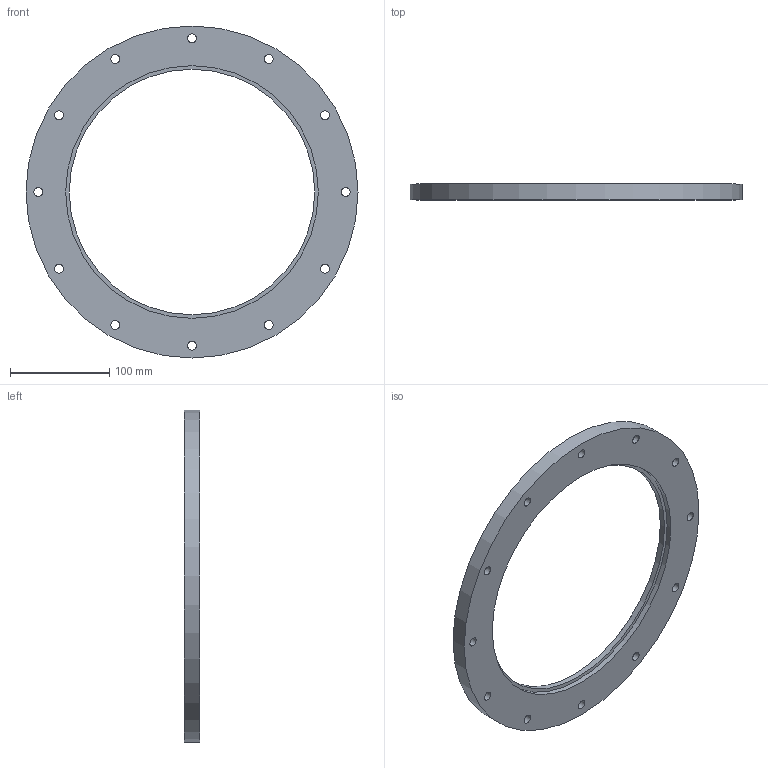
import cadquery as cq

OUTER_DIAMETER = 335.0
THICKNESS = 16.0
BORE_DIAMETER = 247.7

FRONT_RECESS_DIAMETER = 255.0
FRONT_RECESS_DEPTH = 5.5

BACK_RECESS_DIAMETER = 261.0
BACK_RECESS_DEPTH = 4.5

BOLT_COUNT = 12
BOLT_DIAMETER = 9.0
BOLT_CIRCLE_DIAMETER = 310.0

FRONT_Y = -THICKNESS / 2
BACK_Y = THICKNESS / 2


def plane_at(y):
    """Sketch plane at position y along the ring axis, with its normal towards +Y."""
    return cq.Workplane(cq.Plane(origin=(0, y, 0), xDir=(1, 0, 0), normal=(0, 1, 0)))


def disc(diameter, start_y, length):
    """Cylinder on the ring axis running from start_y towards +Y."""
    return plane_at(start_y).circle(diameter / 2).extrude(length)


def bolt_holes():
    """Through holes evenly spaced on the bolt circle."""
    return (
        plane_at(FRONT_Y)
        .polarArray(BOLT_CIRCLE_DIAMETER / 2, 0, 360, BOLT_COUNT)
        .circle(BOLT_DIAMETER / 2)
        .extrude(THICKNESS)
    )


ring = disc(OUTER_DIAMETER, FRONT_Y, THICKNESS)
ring = ring.cut(disc(BORE_DIAMETER, FRONT_Y, THICKNESS))
ring = ring.cut(disc(FRONT_RECESS_DIAMETER, FRONT_Y, FRONT_RECESS_DEPTH))
ring = ring.cut(disc(BACK_RECESS_DIAMETER, BACK_Y - BACK_RECESS_DEPTH, BACK_RECESS_DEPTH))
result = ring.cut(bolt_holes())